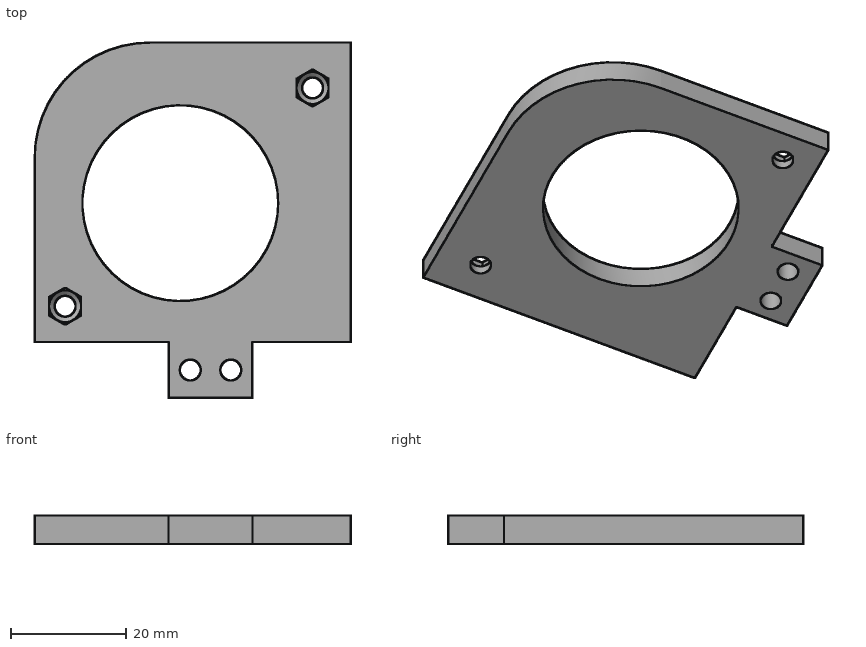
import cadquery as cq
import math

width = 55.0
total_length = 61.8
thickness = 5.0
corner_radius = 20.0

tab_length = 9.7
tab_width = 14.6
tab_left = 23.3

bore_diameter = 34.0
bore_center = (25.35, 33.85)
screw_diameter = 3.6
tab_hole_spacing = 7.05
nut_across_flats = 5.55
nut_depth = 2.0
seat_depth = 1.0
nut_centers = [(5.3, 15.95), (48.3, 53.9)]

tab_right = tab_left + tab_width
tab_hole_y = tab_length / 2
tab_hole_mid_x = (tab_left + tab_right) / 2
tab_hole_centers = [
    (tab_hole_mid_x - tab_hole_spacing / 2, tab_hole_y),
    (tab_hole_mid_x + tab_hole_spacing / 2, tab_hole_y),
]


def plate_with_tab():
    """Flat plate with one large rounded corner and a tab on its front edge."""
    plate = (
        cq.Workplane("XY")
        .moveTo(0, tab_length)
        .lineTo(width, tab_length)
        .lineTo(width, total_length)
        .lineTo(corner_radius, total_length)
        .radiusArc((0, total_length - corner_radius), -corner_radius)
        .close()
        .extrude(thickness)
    )
    tab = cq.Workplane("XY").box(tab_width, tab_length, thickness, centered=False)
    return plate.union(tab.translate((tab_left, 0, 0)))


def through_holes(centers, diameter):
    """Round cutters that span the full thickness."""
    return cq.Workplane("XY").pushPoints(centers).circle(diameter / 2).extrude(thickness)


def nut_pocket(center):
    """Hexagonal cutter with corners along Y and a conical seat narrowing to the screw hole."""
    across_corners = nut_across_flats / math.cos(math.pi / 6)
    floor = cq.Workplane("XY", origin=(*center, thickness - nut_depth))
    hexagon = floor.transformed(rotate=(0, 0, 90)).polygon(6, across_corners).extrude(nut_depth)
    seat = (
        floor.circle(nut_across_flats / 2)
        .workplane(offset=-seat_depth)
        .circle(screw_diameter / 2)
        .loft()
    )
    return hexagon.union(seat)


result = (
    plate_with_tab()
    .cut(through_holes([bore_center], bore_diameter))
    .cut(through_holes(tab_hole_centers + nut_centers, screw_diameter))
)
for nut_center in nut_centers:
    result = result.cut(nut_pocket(nut_center))